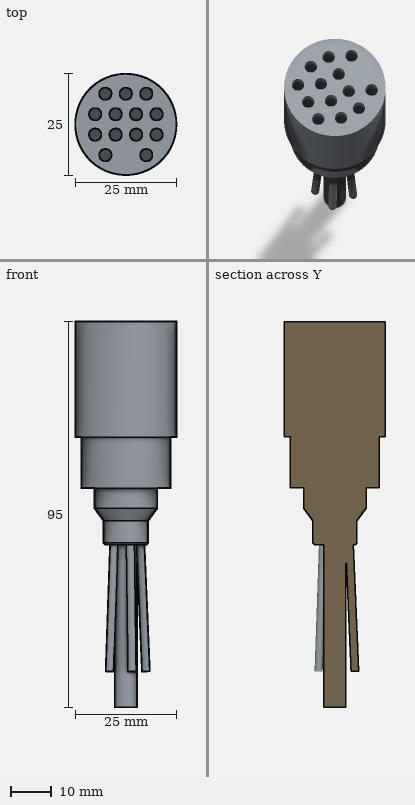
import cadquery as cq

total_length = 95.0

head_diameter = 25.0
collar_diameter = 22.0
neck_diameter = 15.5
sleeve_diameter = 11.0
head_bottom = 66.5
collar_bottom = 54.0
neck_bottom = 49.0
sleeve_top = 46.0
sleeve_bottom = 40.0
sleeve_chamfer = 0.5

socket_diameter = 3.0
socket_depth = 9.5
socket_pitch = 5.0
socket_rows = [(3, socket_pitch), (4, socket_pitch), (4, socket_pitch), (2, 2 * socket_pitch)]

cable_diameter = 5.5
wire_diameter = 2.0
wire_count = 5
wire_ring_radius = 3.6
wire_flare = 1.3
wire_drop = 31.2
buried_length = 0.95


def stepped_body():
    """Revolve the stepped head, the conical neck and the sleeve about Z."""
    head_radius = head_diameter / 2
    collar_radius = collar_diameter / 2
    neck_radius = neck_diameter / 2
    sleeve_radius = sleeve_diameter / 2
    profile = [
        (0, total_length),
        (head_radius, total_length),
        (head_radius, head_bottom),
        (collar_radius, head_bottom),
        (collar_radius, collar_bottom),
        (neck_radius, collar_bottom),
        (neck_radius, neck_bottom),
        (sleeve_radius, sleeve_top),
        (sleeve_radius, sleeve_bottom + sleeve_chamfer),
        (sleeve_radius - sleeve_chamfer, sleeve_bottom),
        (0, sleeve_bottom),
    ]
    return cq.Workplane("XZ").polyline(profile).close().revolve(360, (0, 0), (0, 1))


def socket_holes():
    """Blind holes in centred rows across the top face."""
    first_row_y = socket_pitch * (len(socket_rows) - 1) / 2
    centres = []
    for row, (count, spacing) in enumerate(socket_rows):
        first_x = -spacing * (count - 1) / 2
        for column in range(count):
            centres.append((first_x + column * spacing, first_row_y - row * socket_pitch))
    top_face = cq.Workplane("XY").workplane(offset=total_length)
    return top_face.pushPoints(centres).circle(socket_diameter / 2).extrude(-socket_depth)


def cable():
    """Straight cable from the sleeve down to Z = 0."""
    return cq.Workplane("XY").circle(cable_diameter / 2).extrude(sleeve_bottom + buried_length)


def wire(angle):
    """One straight round wire that leaves the sleeve and leans outwards."""
    exit_point = cq.Vector(wire_ring_radius, 0, sleeve_bottom)
    lean = cq.Vector(wire_flare, 0, -wire_drop)
    buried_end = exit_point - lean.normalized() * buried_length
    length = lean.Length + buried_length
    rod = cq.Solid.makeCylinder(wire_diameter / 2, length, buried_end, lean)
    return cq.Workplane(rod).rotate((0, 0, 0), (0, 0, 1), angle)


result = stepped_body().cut(socket_holes()).union(cable())
for index in range(wire_count):
    result = result.union(wire(index * 360 / wire_count))